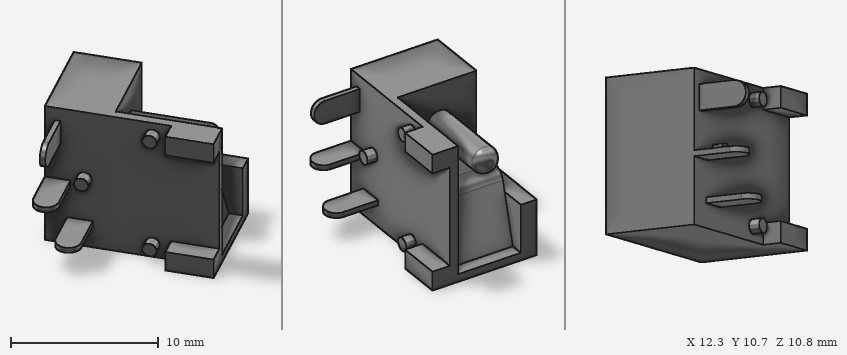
import cadquery as cq
import math

LENGTH = 12.3
DEPTH = 7.01
HEIGHT = 10.8
BLOCK_LENGTH = 4.81
FRONT_WALL = 0.66
BACK_WALL = 1.28
FLOOR = 0.62
BACK_WALL_HEIGHT = 4.43
CAVITY_DEPTH = DEPTH - FRONT_WALL - BACK_WALL

FOOT_LENGTH = 3.4
FOOT_DROP = 1.4
FOOT_HEIGHT = 1.5

PEG_RADIUS = 0.5
PEG_DROP = 0.8
PEG_CENTRES = [(2.79, 5.44), (7.6, 1.05), (7.6, HEIGHT - 1.05)]

TAB_WIDTH = 1.81
TAB_THICKNESS = 0.4
TAB_DROP = 3.69
FLAT_TAB_CORNERS = [(0, 4.7), (1.57, 1.71)]
UPRIGHT_TAB_CORNER = (0.7, 7.97)

PIN_RADIUS = 1.01
PIN_TIP_X = 11.07
PIN_TIP_ROUND = 0.7
PIN_Y = DEPTH - 3.0
PIN_Z = 7.63

CREST_START_X = 8.9
CREST_END_X = 10.06
SPRING_END_X = 11.3
RISE_ANGLE = math.radians(10)
FALL_ANGLE = math.radians(75)


def box(corner, size):
    return cq.Workplane("XY").box(*size, centered=False).translate(corner)


def housing():
    body = box((0, 0, 0), (LENGTH, DEPTH, HEIGHT))
    cavity = box(
        (BLOCK_LENGTH, FRONT_WALL, FLOOR),
        (LENGTH - BLOCK_LENGTH, CAVITY_DEPTH, HEIGHT - FLOOR),
    )
    above_back_wall = box(
        (BLOCK_LENGTH, FRONT_WALL, BACK_WALL_HEIGHT),
        (LENGTH - BLOCK_LENGTH, DEPTH - FRONT_WALL, HEIGHT - BACK_WALL_HEIGHT),
    )
    return body.cut(cavity).cut(above_back_wall)


def foot(base_z):
    corner = (LENGTH - FOOT_LENGTH, -FOOT_DROP, base_z)
    return box(corner, (FOOT_LENGTH, FOOT_DROP, FOOT_HEIGHT))


def peg(x, z):
    return cq.Workplane("XZ", origin=(x, 0, z)).circle(PEG_RADIUS).extrude(PEG_DROP)


def tab():
    """Round-ended tab lying flat, with its corner at the origin, pointing to -Y."""
    straight = TAB_DROP - TAB_WIDTH / 2
    return (
        cq.Workplane("XY")
        .lineTo(0, -straight)
        .threePointArc((TAB_WIDTH / 2, -TAB_DROP), (TAB_WIDTH, -straight))
        .lineTo(TAB_WIDTH, 0)
        .close()
        .extrude(TAB_THICKNESS)
    )


def flat_tab(x, z):
    return tab().translate((x, 0, z))


def upright_tab(x, z):
    upright = tab().rotate((0, 0, 0), (0, 1, 0), -90)
    return upright.translate((x + TAB_THICKNESS, 0, z))


def contact_pin():
    return (
        cq.Workplane("YZ", origin=(BLOCK_LENGTH, PIN_Y, PIN_Z))
        .circle(PIN_RADIUS)
        .extrude(PIN_TIP_X - BLOCK_LENGTH)
        .faces(">X")
        .edges()
        .fillet(PIN_TIP_ROUND)
    )


def spring_contact():
    crest_radius = (CREST_END_X - CREST_START_X) / (math.sin(RISE_ANGLE) + math.sin(FALL_ANGLE))
    crest_end_z = FLOOR + (SPRING_END_X - CREST_END_X) * math.tan(FALL_ANGLE)
    centre_x = CREST_END_X - crest_radius * math.sin(FALL_ANGLE)
    centre_z = crest_end_z - crest_radius * math.cos(FALL_ANGLE)
    crest_start_z = centre_z + crest_radius * math.cos(RISE_ANGLE)
    root_z = crest_start_z - (CREST_START_X - BLOCK_LENGTH) * math.tan(RISE_ANGLE)
    return (
        cq.Workplane("XZ", origin=(0, FRONT_WALL, 0))
        .moveTo(BLOCK_LENGTH, 0)
        .lineTo(BLOCK_LENGTH, root_z)
        .lineTo(CREST_START_X, crest_start_z)
        .threePointArc((centre_x, centre_z + crest_radius), (CREST_END_X, crest_end_z))
        .lineTo(SPRING_END_X, FLOOR)
        .lineTo(SPRING_END_X, 0)
        .close()
        .extrude(-CAVITY_DEPTH)
    )


result = housing().union(spring_contact()).union(contact_pin())
for base_z in (0, HEIGHT - FOOT_HEIGHT):
    result = result.union(foot(base_z))
for peg_x, peg_z in PEG_CENTRES:
    result = result.union(peg(peg_x, peg_z))
for tab_x, tab_z in FLAT_TAB_CORNERS:
    result = result.union(flat_tab(tab_x, tab_z))
result = result.union(upright_tab(*UPRIGHT_TAB_CORNER))